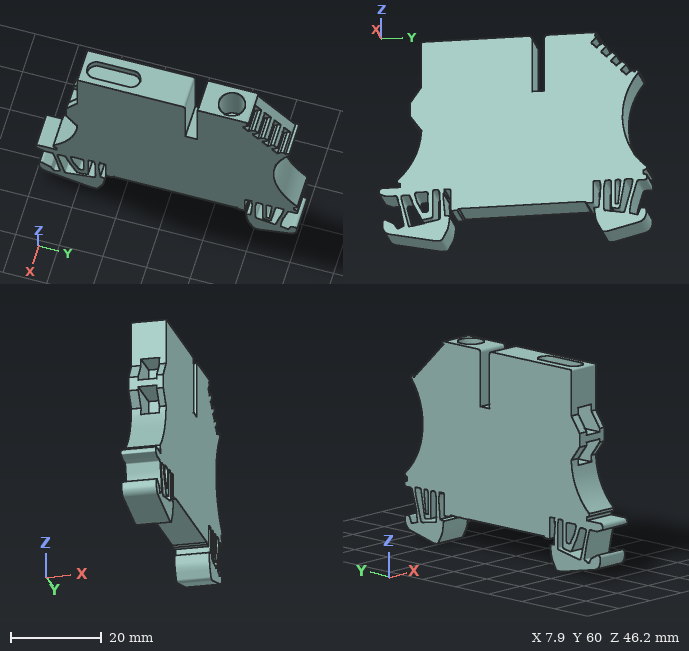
import cadquery as cq
import math


width = 7.9
height = 46.25
front_y = -32.05
back_y = 27.95

join_overlap = 0.6

top_front_y = -22.55
front_edge_round = 0.35
top_slot_front_y = 2.3
top_slot_back_y = 5.0
top_slot_floor_z = 33.35
top_slot_round = 0.7
base_z = 6.8
base_relief_z = 7.15
pad_inner_y = 14.1
pad_outer_y = 15.95
leg_gap_y = 17.4
root_z = 11.8
back_root_z = 11.45
front_root_z = 10.9

scallop_radius = 15.6
scallop_depth_y = 22.5
scallop_z = 26.4
scallop_end_y = 26.1
scallop_end_z = 16.45

slope_top = (16.3, 45.55)
slope_bottom = (25.25, 36.6)
groove_count = 4
groove_first_y = 24.85
groove_pitch_y = 2.2
groove_opening = 2.05
groove_depth = 1.75
groove_taper = 0.3
groove_taper_depth = 0.85
groove_length = 5.4

opening_x = 0.35
opening_width = 4.2
screw_hole_diameter = 5.9
screw_hole_y = 11.95
screw_hole_depth = 9.0
top_recess_front_y = -21.25
top_recess_back_y = -9.1
top_recess_depth = 1.8
entry_back_y = -15.6
entry_spans_z = ((31.5, 37.3), (24.3, 29.9))

nose_y = -25.1
nose_top_z = 32.3
nose_bottom_z = 29.15
nose_root_top_z = 35.8
nose_root_bottom_z = 25.8

arm_root_y = -27.25
arm_top_z = 12.9

window_round = 0.5
leg_bend = 12.0


def corner(before, at, after, radius):
    """Start, middle and end of the arc that rounds the corner at a point."""
    to_before = math.atan2(before[1] - at[1], before[0] - at[0])
    to_after = math.atan2(after[1] - at[1], after[0] - at[0])
    half_angle = ((to_after - to_before) % (2 * math.pi)) / 2
    bisector = to_before + half_angle
    if half_angle > math.pi / 2:
        half_angle = math.pi - half_angle
        bisector += math.pi
    setback = radius / math.tan(half_angle)
    middle_distance = radius / math.sin(half_angle) - radius

    def offset(angle, distance):
        return (at[0] + distance * math.cos(angle), at[1] + distance * math.sin(angle))

    return offset(to_before, setback), offset(bisector, middle_distance), offset(to_after, setback)


def plate(points, default_round=0.0):
    """Full-width plate from (y, z) or (y, z, corner radius) outline points."""
    wire = None
    for i, point in enumerate(points):
        radius = point[2] if len(point) > 2 else default_round
        if radius:
            start, middle, end = corner(points[i - 1], point, points[(i + 1) % len(points)], radius)
        else:
            start = point[:2]
        if wire is None:
            wire = cq.Workplane("YZ", origin=(-width / 2, 0, 0)).moveTo(*start)
        else:
            wire = wire.lineTo(*start)
        if radius:
            wire = wire.threePointArc(middle, end)
    return wire.close().extrude(width)


def mirrored(points):
    """The same outline points on the front (-Y) side."""
    return [(-point[0], *point[1:]) for point in points]


def box(x_span, y_span, z_span):
    size = [span[1] - span[0] for span in (x_span, y_span, z_span)]
    return cq.Workplane("XY").box(*size, centered=False).translate((x_span[0], y_span[0], z_span[0]))


def housing():
    top_edge = [
        (top_front_y, height, front_edge_round),
        (top_slot_front_y, height, top_slot_round),
        (top_slot_front_y, top_slot_floor_z),
        (top_slot_back_y, top_slot_floor_z),
        (top_slot_back_y, height, top_slot_round),
    ]
    marker_face = [
        (16.2, height, 0.2),
        (16.85, 46.0, 0.1),
        slope_top,
        slope_bottom,
        (25.45, 37.0, 0.1),
        (26.05, 37.0, 0.25),
        (26.05, 35.9),
    ]
    back_end = [
        (scallop_end_y, scallop_end_z),
        (back_y, 14.8),
        (back_y, 14.0),
        (27.2, 13.55, 0.2),
        (27.2, 12.95, 0.2),
        (back_y, 12.55),
        (back_y, back_root_z, 0.3),
        (leg_gap_y, back_root_z),
    ]
    back_half_base = [
        (leg_gap_y, root_z),
        (pad_outer_y, root_z, 0.4),
        (pad_outer_y, base_z, 0.25),
        (pad_inner_y + base_relief_z - base_z, base_z),
        (pad_inner_y, base_relief_z),
    ]
    front_half_base = mirrored(reversed(back_half_base))
    front_end = [
        (-leg_gap_y, front_root_z),
        (arm_root_y, front_root_z),
        (arm_root_y, 13.7, 0.1),
        (-27.95, 13.85, 0.35),
        (-27.95, 14.95, 1.1),
        (-scallop_end_y, scallop_end_z),
        (top_front_y, scallop_z),
    ]
    solid = plate(top_edge + marker_face + back_end + back_half_base + front_half_base + front_end)
    for side in (1, -1):
        scallop = (
            cq.Workplane("YZ", origin=(-width / 2, 0, 0))
            .center(side * (scallop_depth_y + scallop_radius), scallop_z)
            .circle(scallop_radius)
            .extrude(width)
        )
        solid = solid.cut(scallop)
    return solid


def nose():
    return plate([
        (top_front_y + join_overlap, nose_root_top_z),
        (top_front_y, nose_root_top_z),
        (nose_y, nose_top_z),
        (nose_y, nose_bottom_z),
        (top_front_y, nose_root_bottom_z),
        (top_front_y + join_overlap, nose_root_bottom_z),
    ])


def release_arm():
    return plate([
        (arm_root_y + join_overlap, front_root_z),
        (-30.35, front_root_z, 0.6),
        (front_y, 11.6, 0.2),
        (front_y, arm_top_z, 0.8),
        (arm_root_y + join_overlap, arm_top_z),
    ])


inner_leg = [
    (leg_gap_y, root_z + join_overlap),
    (leg_gap_y, root_z),
    (17.65, 10.3, 1.8),
    (17.2, 5.75),
    (16.15, 5.5),
    (16.5, 2.7, 4.8),
    (17.95, 0, 0.7),
]


def back_foot():
    return plate(inner_leg + [
        (19.2, 0, 0.6),
        (27.85, 2.1, 2.15),
        (27.85, 5.05, 0.55),
        (26.5, 5.05, 0.4),
        (25.85, 3.4, 0.25),
        (24.05, 3.95, 0.35),
        (24.5, 6.8, leg_bend),
        (25.85, back_root_z, 0.6),
        (27.0, back_root_z),
        (27.0, back_root_z + join_overlap),
    ])


def front_foot():
    return plate(mirrored(inner_leg + [
        (19.5, 0, 0.6),
        (31.25, 2.45, 2.0),
        (31.25, 6.0, 0.6),
        (28.55, 4.5, 0.35),
        (27.85, 3.3, 0.2),
        (26.45, 3.9, 0.3),
        (27.3, 8.15, leg_bend),
        (28.1, front_root_z, 0.35),
        (28.8, front_root_z),
        (28.8, front_root_z + join_overlap),
    ]))


inner_gap = [
    (20.0, root_z),
    (18.65, root_z),
    (18.35, 10.3, 1.8),
    (18.35, 4.9, 0.55),
]


def foot_windows():
    back_gap = plate(inner_gap + [
        (22.9, 4.1),
        (24.55, 9.9, leg_bend),
        (24.9, root_z),
        (23.05, root_z),
        (21.85, 5.1),
        (20.0, 5.4, 0.4),
    ], window_round)
    back_slit = plate([
        (22.15, root_z),
        (20.9, root_z),
        (20.9, 6.25, 0.25),
        (21.55, 6.25, 0.25),
    ], window_round)
    front_gap = plate(mirrored(inner_gap + [
        (25.3, 3.6),
        (27.2, front_root_z, 0.5),
        (25.2, front_root_z, 0.4),
        (24.1, 8.15, 2.4),
        (22.5, 5.0),
        (20.0, 5.4, 0.4),
    ]), window_round)
    front_slit = plate(mirrored([
        (24.1, back_root_z),
        (21.05, back_root_z),
        (21.05, 6.8),
        (22.1, 6.8),
        (23.45, 9.1, 2.4),
    ]), window_round)
    return [back_gap, back_slit, front_gap, front_slit]


def marker_groove(lower_lip_y):
    """Groove square to the 45 degree slope, with its lower wall flared at the mouth."""
    lower_lip_z = slope_bottom[1] + (slope_bottom[0] - lower_lip_y)
    section = [
        (0, 0),
        (groove_taper, -groove_taper_depth),
        (groove_taper, -groove_depth),
        (groove_opening, -groove_depth),
        (groove_opening, 0),
    ]
    slope_plane = cq.Plane(
        origin=(width / 2 - groove_length, lower_lip_y, lower_lip_z),
        xDir=(0, -1, 1),
        normal=(-1, 0, 0),
    )
    return cq.Workplane(slope_plane).polyline(section).close().extrude(-groove_length)


def openings():
    screw_hole = (
        cq.Workplane("XY", origin=(opening_x, screw_hole_y, height))
        .circle(screw_hole_diameter / 2)
        .extrude(-screw_hole_depth)
    )
    recess_length = top_recess_back_y - top_recess_front_y
    recess_y = (top_recess_back_y + top_recess_front_y) / 2
    top_recess = (
        cq.Workplane("XY", origin=(opening_x, recess_y, height))
        .slot2D(recess_length, opening_width, 90)
        .extrude(-top_recess_depth)
    )
    x_span = (opening_x - opening_width / 2, opening_x + opening_width / 2)
    entries = [box(x_span, (front_y, entry_back_y), z_span) for z_span in entry_spans_z]
    return [screw_hole, top_recess] + entries


result = housing().union(nose()).union(release_arm()).union(back_foot()).union(front_foot())
for cutter in foot_windows() + openings():
    result = result.cut(cutter)
for groove_number in range(groove_count):
    result = result.cut(marker_groove(groove_first_y - groove_number * groove_pitch_y))